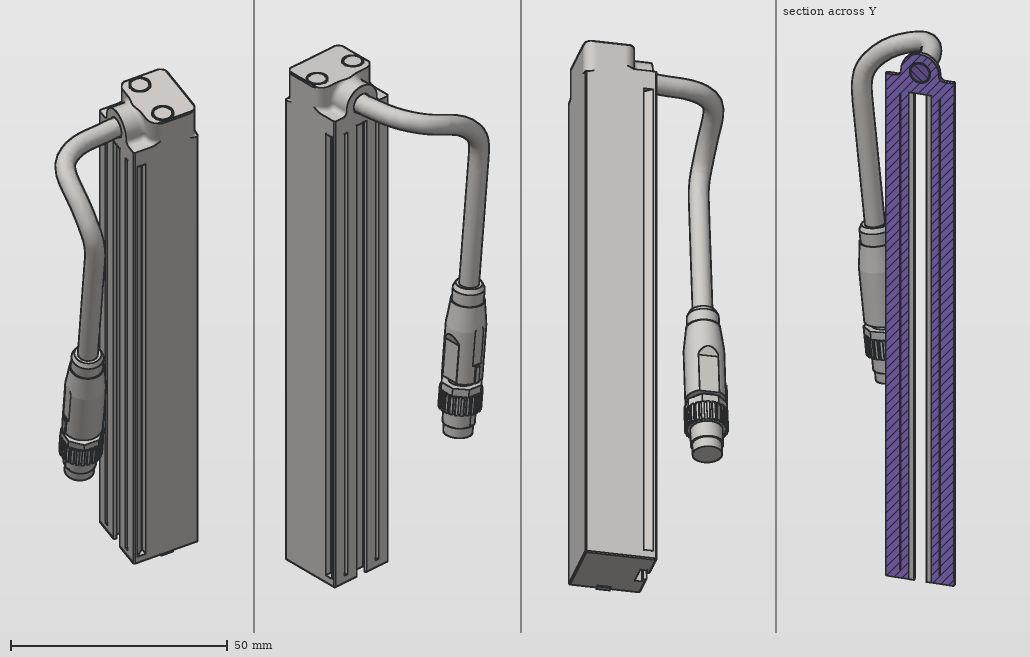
import cadquery as cq
import math

overrun = 4.0
select_margin = 0.1

width = 17.0
half = width / 2
total_height = 134.6
edge_chamfer = 0.3
foot_height = 0.3
foot_size = (1.3, 3.2)
foot_centre = (7.7, 0.35)

cable_z = total_height - 5.0
boss_radius = 9.5 / 2
notch_fillet = 1.2
notch_floor_depth = 1.4
notch_floor_z = cable_z - notch_floor_depth
notch_wall_y = -3.7
cap_corner_radius = 2.8
cable_hole_radius = 5.0 / 2
cable_hole_depth = 4.0

rear_corner_radius = 2.6
rear_corner_height = 8.2
rear_corner_fillet = 0.6

plug_radius = 5.0 / 2
plug_x = 5.6
plug_y = 0.65
plug_gap = 0.3
plug_gap_depth = 0.5

groove_bottom_z = 2.5
groove_top_z = total_height - 11.1
front_groove_x = 4.88
front_groove_width = 1.0
front_groove_depth = 1.0
side_groove_rear_y = -5.4
side_groove_floor_width = 0.35
side_groove_front_y = -7.6
side_groove_depth = 1.6
t_slot_top_z = total_height - 10.4
t_slot_neck_width = 3.1
t_slot_neck_depth = 0.9
t_slot_width = 5.5
t_slot_depth = 2.6

cable_radius = 4.7 / 2
connector_tilt = 5.5
connector_lean = 0.35
connector_tip = (14.2, -25.92, 41.8)
straight_end = 70.0
cable_bend_points = [
    (0.4, -12.5, 129.6),
    (1.0, -17.0, 129.75),
    (2.6, -21.6, 129.75),
    (5.6, -25.0, 129.2),
    (9.3, -26.1, 128.0),
    (15.2, -26.3, 125.2),
    (19.55, -26.1, 121.0),
]

tip_end = 2.7
shank_end = 6.75
knurl_end = 11.5
collar_end = 13.6
neck_end = 14.9
grip_end = 28.5
taper_end = 34.8
sleeve_end = 37.9
connector_end = 39.1

tip_radius = 6.9 / 2
shank_radius = 7.6 / 2
knurl_radius = 5.03
collar_radius = knurl_radius
collar_sides = 8
neck_radius = 6.25 / 2
grip_radius = 9.5 / 2
taper_top_radius = 8.0 / 2
sleeve_radius = 7.5 / 2
sleeve_top_radius = 6.25 / 2

knurl_count = 24
knurl_groove_width = 0.6
knurl_groove_depth = 0.5
shank_facet_angle = 12.5

window_offset = 3.95
window_width = 4.7
window_start = 14.9
window_ramp_start = 24.8
window_end = 27.0
front_flat_width = 2.6
front_flat_start = 19.6
front_flat_end = 30.5
mark_width = 1.2
mark_start = 15.0
mark_end = 19.2
mark_height = 0.3


def box(x_range, y_range, z_range):
    """Axis-aligned box between the given limits."""
    return (
        cq.Workplane("XY")
        .box(x_range[1] - x_range[0], y_range[1] - y_range[0], z_range[1] - z_range[0], centered=False)
        .translate((x_range[0], y_range[0], z_range[0]))
    )


def edge_box(low, high):
    """Selector for the edges that lie wholly between two corner points."""
    margin = cq.Vector(select_margin, select_margin, select_margin)
    return cq.selectors.BoxSelector(cq.Vector(*low) - margin, cq.Vector(*high) + margin, boundingbox=True)


def cable_boss():
    """Boss around the cable exit: round above its axis, straight-sided below it."""
    rear = notch_wall_y + overrun
    front = -half - 2 * overrun
    barrel = (
        cq.Workplane("XZ", origin=(0, rear, cable_z))
        .circle(boss_radius)
        .extrude(rear - front)
    )
    sides = (-boss_radius, boss_radius)
    return barrel.union(box(sides, (front, rear), (notch_floor_z - boss_radius, cable_z)))


def front_notch():
    """Volume removed around the boss; its rounded edges leave the notch's concave fillets."""
    outer_x = half + overrun
    front_y = -half - overrun
    side_y = half - overrun
    flank_y = notch_wall_y + cap_corner_radius
    arc_x = half - cap_corner_radius
    arc_mid = cap_corner_radius * math.sqrt(0.5)
    mid_x = arc_x + arc_mid
    mid_y = flank_y - arc_mid
    notch = (
        cq.Workplane("XY", origin=(0, 0, notch_floor_z))
        .moveTo(-outer_x, front_y)
        .lineTo(outer_x, front_y)
        .lineTo(outer_x, side_y)
        .lineTo(half, side_y)
        .lineTo(half, flank_y)
        .threePointArc((mid_x, mid_y), (arc_x, notch_wall_y))
        .lineTo(-arc_x, notch_wall_y)
        .threePointArc((-mid_x, mid_y), (-half, flank_y))
        .lineTo(-half, side_y)
        .lineTo(-outer_x, side_y)
        .close()
        .extrude(total_height + overrun - notch_floor_z)
        .cut(cable_boss())
    )
    wall_edges = edge_box(
        (-half, notch_wall_y, notch_floor_z),
        (half, side_y, cable_z + boss_radius),
    )
    boss_foot_edges = edge_box(
        (-boss_radius, front_y, notch_floor_z),
        (boss_radius, notch_wall_y, notch_floor_z),
    )
    vertical_edges = cq.selectors.ParallelDirSelector(cq.Vector(0, 0, 1))
    return notch.edges((wall_edges + boss_foot_edges) - vertical_edges).fillet(notch_fillet)


def rear_corner(side):
    """Sliver removed to round one rear corner of the cap; side is -1 or 1."""
    centre = half - rear_corner_radius
    bottom = total_height - rear_corner_height
    x_range = sorted((side * centre, side * (half + overrun)))
    block = box(x_range, (centre, half + overrun), (bottom, total_height + overrun))
    round_part = (
        cq.Workplane("XY", origin=(side * centre, centre, bottom))
        .circle(rear_corner_radius)
        .extrude(rear_corner_height + overrun)
    )
    sliver = block.cut(round_part)
    return sliver.edges("%CIRCLE and <Z").fillet(rear_corner_fillet)


def front_groove(side):
    """V-groove in the front face."""
    x = side * front_groove_x
    return (
        cq.Workplane("XY", origin=(0, 0, groove_bottom_z))
        .moveTo(x - front_groove_width / 2, -half)
        .lineTo(x + front_groove_width / 2, -half)
        .lineTo(x, -half + front_groove_depth)
        .close()
        .extrude(groove_top_z - groove_bottom_z)
    )


def side_groove(side):
    """Groove with a square rear wall, a narrow floor and a sloped front wall."""
    floor_x = half - side_groove_depth
    return (
        cq.Workplane("XY", origin=(0, 0, groove_bottom_z))
        .moveTo(side * half, side_groove_rear_y)
        .lineTo(side * floor_x, side_groove_rear_y)
        .lineTo(side * floor_x, side_groove_rear_y - side_groove_floor_width)
        .lineTo(side * half, side_groove_front_y)
        .close()
        .extrude(groove_top_z - groove_bottom_z)
    )


def t_slot():
    """T-slot in the front, open at the lower end of the bar."""
    neck = box(
        (-t_slot_neck_width / 2, t_slot_neck_width / 2),
        (-half, -half + t_slot_depth),
        (0, t_slot_top_z),
    )
    head = box(
        (-t_slot_width / 2, t_slot_width / 2),
        (-half + t_slot_neck_depth, -half + t_slot_depth),
        (0, t_slot_top_z),
    )
    return neck.union(head)


def make_housing():
    body = box((-half, half), (-half, half), (foot_height, total_height))
    body = body.edges().chamfer(edge_chamfer)
    body = body.cut(front_notch())
    for side in (-1, 1):
        plug_outline = (
            cq.Workplane("XY", origin=(side * plug_x, plug_y, total_height - plug_gap_depth))
            .circle(plug_radius)
            .circle(plug_radius - plug_gap)
            .extrude(plug_gap_depth)
        )
        body = body.cut(rear_corner(side)).cut(plug_outline)
        body = body.cut(front_groove(side)).cut(side_groove(side))
    body = body.cut(t_slot())
    cable_hole = (
        cq.Workplane("XZ", origin=(0, -half, cable_z))
        .circle(cable_hole_radius)
        .extrude(-cable_hole_depth)
    )
    foot = (
        cq.Workplane("XY")
        .center(*foot_centre)
        .rect(*foot_size)
        .extrude(foot_height)
    )
    return body.cut(cable_hole).union(foot)


def knurl_grooves():
    """Straight grooves round the knurled ring."""
    groove = box(
        (knurl_radius - knurl_groove_depth, knurl_radius + overrun),
        (-knurl_groove_width / 2, knurl_groove_width / 2),
        (shank_end, knurl_end),
    )
    grooves = cq.Workplane("XY")
    for i in range(knurl_count):
        grooves = grooves.add(groove.rotate((0, 0, 0), (0, 0, 1), i * 360 / knurl_count))
    return grooves.vals()


def side_window():
    """Flat window in the -X side of the grip, ramping out to the surface at its upper end."""
    outer = -grip_radius - overrun
    ramp_rise = (window_end - window_ramp_start) / (grip_radius - window_offset)
    ramp_top = window_ramp_start + ramp_rise * (-outer - window_offset)
    return (
        cq.Workplane("XZ", origin=(0, window_width / 2, 0))
        .moveTo(outer, window_start)
        .lineTo(-window_offset, window_start)
        .lineTo(-window_offset, window_ramp_start)
        .lineTo(outer, ramp_top)
        .close()
        .extrude(window_width)
    )


def make_connector():
    """Plug connector along +Z with its tip at the origin."""
    profile = [
        (0, 0),
        (tip_radius, 0),
        (tip_radius, tip_end),
        (shank_radius, tip_end),
        (shank_radius, shank_end),
        (knurl_radius, shank_end),
        (knurl_radius, knurl_end),
        (neck_radius, knurl_end),
        (neck_radius, neck_end),
        (grip_radius, neck_end),
        (grip_radius, grip_end),
        (taper_top_radius, taper_end),
        (sleeve_radius, taper_end),
        (sleeve_radius, sleeve_end),
        (sleeve_top_radius, connector_end),
        (0, connector_end),
    ]
    connector = cq.Workplane("XZ").polyline(profile).close().revolve(360, (0, 0, 0), (0, 1, 0))
    collar = (
        cq.Workplane("XY", origin=(0, 0, knurl_end))
        .polygon(collar_sides, 2 * collar_radius)
        .extrude(collar_end - knurl_end)
        .rotate((0, 0, 0), (0, 0, 1), 180 / collar_sides)
    )
    connector = connector.union(collar)
    for groove in knurl_grooves():
        connector = connector.cut(cq.Workplane(groove))

    facet_offset = shank_radius * math.cos(math.radians(shank_facet_angle))
    facet = box((-shank_radius, shank_radius), (-shank_radius - overrun, -facet_offset), (tip_end, shank_end))
    for side in (-1, 1):
        connector = connector.cut(facet.rotate((0, 0, 0), (0, 0, 1), side * shank_facet_angle))

    flat_offset = math.sqrt(grip_radius ** 2 - (front_flat_width / 2) ** 2)
    flat = box(
        (-grip_radius, grip_radius),
        (-grip_radius - overrun, -flat_offset),
        (front_flat_start, front_flat_end),
    )
    mark = box(
        (-mark_width / 2, mark_width / 2),
        (-grip_radius - mark_height, -neck_radius),
        (mark_start, mark_end),
    )
    return connector.cut(side_window()).cut(flat).union(mark)


def along_connector(distance):
    """Point on the tilted connector axis at the given distance from the tip."""
    tilt = math.radians(connector_tilt)
    lean = math.radians(connector_lean)
    return (
        connector_tip[0] + distance * math.sin(tilt),
        connector_tip[1] + distance * math.cos(tilt) * math.sin(lean),
        connector_tip[2] + distance * math.cos(tilt) * math.cos(lean),
    )


def make_cable():
    """Connector, straight cable and bent cable as one body, ending in the housing's hole."""
    straight = (
        cq.Workplane("XY", origin=(0, 0, connector_end))
        .circle(cable_radius)
        .extrude(straight_end - connector_end)
    )
    plug = (
        make_connector()
        .union(straight)
        .rotate((0, 0, 0), (0, 1, 0), connector_tilt)
        .rotate((0, 0, 0), (1, 0, 0), -connector_lean)
        .translate(connector_tip)
    )
    bend_end = cq.Vector(*along_connector(straight_end))
    axis_down = cq.Vector(*connector_tip) - bend_end
    exit_point = (0, -half, cable_z)
    path = cq.Workplane("XY").spline(
        [exit_point, *cable_bend_points, bend_end.toTuple()],
        tangents=[cq.Vector(0, -1, 0), axis_down.normalized()],
    )
    bend = cq.Workplane("XZ", origin=exit_point).circle(cable_radius).sweep(path)
    root = cq.Workplane("XZ", origin=exit_point).circle(cable_radius).extrude(-cable_hole_depth)
    return root.union(bend).union(plug)


housing = make_housing()
cable = make_cable()
result = cq.Compound.makeCompound([housing.solids().val(), cable.solids().val()])